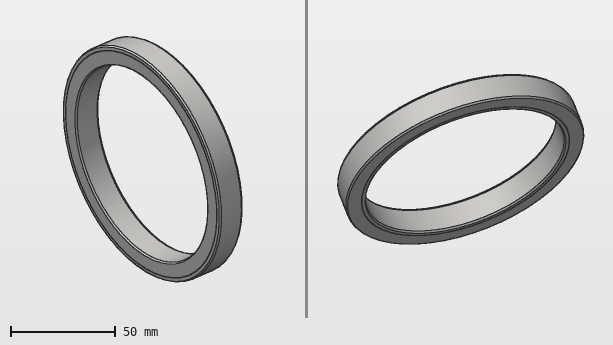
import cadquery as cq
import math

OUTER_RADIUS = 60.0
BORE_RADIUS = 50.0
WIDTH = 14.0

RIM_THICKNESS = 2.3
GAP = 0.2

CHAMFER_LENGTH = 1.0
CHAMFER_ANGLE = 30

SECTION_DEPTH = OUTER_RADIUS - BORE_RADIUS
HALF_WIDTH = WIDTH / 2
CHAMFER_DEPTH = CHAMFER_LENGTH * math.tan(math.radians(CHAMFER_ANGLE))


def flanged_ring(seat_radius, depth_direction, flange_side):
    """L-section ring: a chamfered seat wall of full width with a flange at one end.

    depth_direction is +1 when the section extends outward from its seat, -1 when inward.
    flange_side is the sign of the Y end that carries the flange.
    """
    chamfer_radius = seat_radius + depth_direction * CHAMFER_DEPTH
    rim_radius = seat_radius + depth_direction * RIM_THICKNESS
    flange_radius = seat_radius + depth_direction * (SECTION_DEPTH - RIM_THICKNESS - GAP)

    flange_end = flange_side * HALF_WIDTH
    flange_back = flange_side * GAP / 2
    chamfer_start = flange_side * (HALF_WIDTH - CHAMFER_LENGTH)

    return (
        cq.Workplane("YZ")
        .moveTo(flange_end, chamfer_radius)
        .lineTo(flange_end, flange_radius)
        .lineTo(flange_back, flange_radius)
        .lineTo(flange_back, rim_radius)
        .lineTo(-flange_end, rim_radius)
        .lineTo(-flange_end, chamfer_radius)
        .lineTo(-chamfer_start, seat_radius)
        .lineTo(chamfer_start, seat_radius)
        .close()
        .revolve(360, (0, 0, 0), (1, 0, 0))
    )


inner_ring = flanged_ring(BORE_RADIUS, depth_direction=1, flange_side=-1)
outer_ring = flanged_ring(OUTER_RADIUS, depth_direction=-1, flange_side=1)

result = cq.Compound.makeCompound([outer_ring.val(), inner_ring.val()])